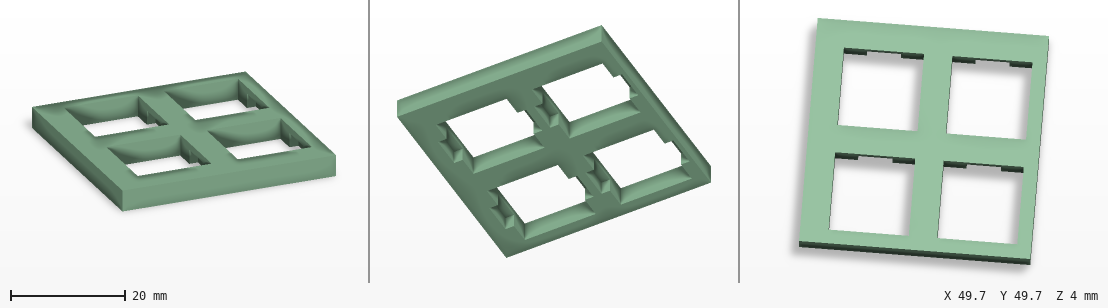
import cadquery as cq
import math

outer_size = 49.7
tilt = 15.0
thickness = 4.0

opening = 14.05
pitch = 19.05
margin = 2.5

lip_thickness = 1.3
recess_width = 6.0
recess_depth = 1.7

spread = math.cos(math.radians(tilt)) + math.sin(math.radians(tilt))
side = outer_size / spread

first_x = -side / 2 + margin + opening / 2
first_y = side / 2 - margin - opening / 2
centres = [
    (first_x + column * pitch, first_y - row * pitch)
    for column in range(2)
    for row in range(2)
]


def make_plate():
    return cq.Workplane("XY").rect(side, side).extrude(thickness)


def make_openings():
    return cq.Workplane("XY").pushPoints(centres).rect(opening, opening).extrude(thickness)


def make_recesses():
    bar_length = opening + 2 * recess_depth
    bars = cq.Workplane("XY").pushPoints(centres).rect(recess_width, bar_length)
    return bars.extrude(thickness - lip_thickness)


result = make_plate().cut(make_openings()).cut(make_recesses())
result = result.rotate((0, 0, 0), (0, 0, 1), -tilt)